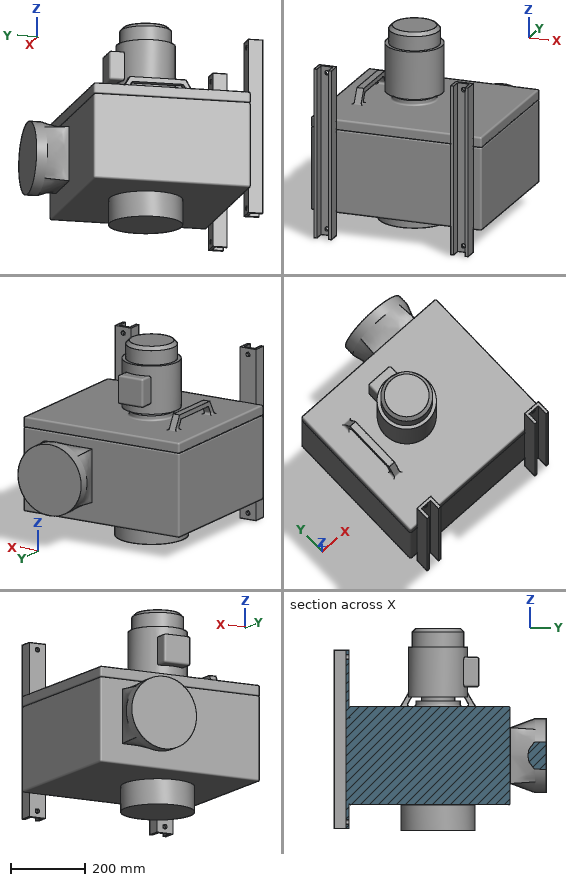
import cadquery as cq
import math

overall_y = 571.0

box_x = 492.0
box_y = 434.5
box_z = 265.0
lid_z = 29.0
edge_radius = 5.0
lid_rim_radius = 3.0

channel_width = 50.0
channel_depth = 40.0
channel_wall = 8.5
channel_length = 480.0
channel_below_box = 64.0
channel_offset_x = 197.0
channel_hole_d = 12.0
channel_hole_inset = 17.5

motor_x = -39.5
motor_y = 22.0
flange_d = 120.0
flange_z = 15.0
neck_d = 90.0
neck_z = 10.0
motor_d = 160.0
motor_z = 135.0
cowl_d = 140.0
cowl_z = 50.0
cowl_chamfer = 9.5

inlet_d = 200.0
inlet_z = 69.5

terminal_side = 80.0
terminal_reach = 110.0
terminal_above_lid = 52.5
terminal_radius = 5.5

outlet_x = 104.5
outlet_square = 150.0
outlet_d = 200.0
outlet_length = overall_y - box_y - channel_depth
collar_length = 30.0

handle_x = -165.5
handle_width = 20.0
handle_height = 40.0
handle_thickness = 13.0
grip_length = 155.5
leg_lean = math.radians(30)

overlap = 5.5
pick_tolerance = 0.5


def make_housing():
    body_z = box_z - lid_z
    body = (
        cq.Workplane("XY")
        .box(box_x, box_y, body_z, centered=(True, True, False))
        .edges("|Z").fillet(edge_radius)
        .faces("<Z or >Z").edges().fillet(edge_radius)
    )
    lid = (
        cq.Workplane("XY")
        .workplane(offset=body_z)
        .box(box_x, box_y, lid_z, centered=(True, True, False))
        .edges("|Z").fillet(edge_radius)
        .faces(">Z").edges().fillet(edge_radius)
        .faces("<Z").edges().fillet(lid_rim_radius)
    )
    return body.union(lid)


def make_handle():
    """Constant-thickness bent bar, extended slightly into the lid."""
    lean = math.tan(leg_lean)
    outer_grip = grip_length / 2
    inner_grip = outer_grip - handle_thickness * math.tan(leg_lean)
    inner_height = handle_height - handle_thickness
    outer_foot = outer_grip + (handle_height + overlap) * lean
    inner_foot = inner_grip + (inner_height + overlap) * lean
    return (
        cq.Workplane("YZ", origin=(handle_x - handle_width / 2, motor_y, box_z))
        .polyline([
            (-outer_foot, -overlap),
            (-outer_grip, handle_height),
            (outer_grip, handle_height),
            (outer_foot, -overlap),
            (inner_foot, -overlap),
            (inner_grip, inner_height),
            (-inner_grip, inner_height),
            (-inner_foot, -overlap),
        ])
        .close()
        .extrude(handle_width)
    )


def make_flange():
    return (
        cq.Workplane("XY", origin=(motor_x, motor_y, box_z - overlap))
        .circle(flange_d / 2)
        .extrude(overlap + flange_z)
    )


def fillet_lid_joints(solid):
    """Round the inside corners where the handle and flange meet the lid."""
    inset = 2 * edge_radius
    lid_plane = cq.selectors.BoxSelector(
        (-box_x / 2 + inset, -box_y / 2 + inset, box_z - pick_tolerance),
        (box_x / 2 - inset, box_y / 2 - inset, box_z + pick_tolerance),
    )
    return solid.edges(lid_plane).fillet(edge_radius)


def make_motor():
    axis = cq.Workplane("XY", origin=(motor_x, motor_y, box_z + flange_z))
    neck = axis.circle(neck_d / 2).extrude(neck_z)
    barrel = axis.workplane(offset=neck_z).circle(motor_d / 2).extrude(motor_z)
    cowl = (
        axis.workplane(offset=neck_z + motor_z)
        .circle(cowl_d / 2)
        .extrude(cowl_z)
        .faces(">Z").chamfer(cowl_chamfer)
    )
    terminal = (
        cq.Workplane("XY", origin=(motor_x, motor_y, box_z + terminal_above_lid))
        .box(terminal_side, terminal_reach, terminal_side, centered=(True, False, False))
        .edges("|Y").fillet(terminal_radius)
        .faces(">Y").edges().fillet(terminal_radius)
    )
    return neck.union(barrel).union(cowl).union(terminal)


def make_inlet():
    return (
        cq.Workplane("XY", origin=(motor_x, motor_y, -inlet_z))
        .circle(inlet_d / 2)
        .extrude(inlet_z + overlap)
    )


def make_outlet():
    taper_length = outlet_length - collar_length
    base = cq.Workplane(cq.Plane(
        origin=(outlet_x, box_y / 2, box_z / 2), xDir=(1, 0, 0), normal=(0, 1, 0)
    ))
    taper = (
        base.rect(outlet_square, outlet_square)
        .workplane(offset=taper_length)
        .circle(outlet_d / 2)
        .loft(ruled=True)
    )
    collar = base.workplane(offset=taper_length).circle(outlet_d / 2).extrude(collar_length)
    return taper.union(collar)


def make_channel(center_x):
    groove_depth = channel_depth - channel_wall
    front_y = -box_y / 2 - channel_depth
    start = cq.Workplane("XY", origin=(center_x, front_y, -channel_below_box))
    bar = start.box(channel_width, channel_depth, channel_length, centered=(True, False, False))
    groove = start.box(
        channel_width - 2 * channel_wall, groove_depth, channel_length, centered=(True, False, False)
    )
    hole_levels = (channel_hole_inset, channel_length - channel_hole_inset)
    holes = (
        cq.Workplane("XZ", origin=(center_x, front_y, -channel_below_box))
        .pushPoints([(0, level) for level in hole_levels])
        .circle(channel_hole_d / 2)
        .extrude(-channel_depth)
    )
    return bar.cut(groove).cut(holes)


result = make_housing().union(make_handle()).union(make_flange())
result = fillet_lid_joints(result)
result = result.union(make_motor()).union(make_inlet()).union(make_outlet())
for channel_x in (-channel_offset_x, channel_offset_x):
    result = result.union(make_channel(channel_x))